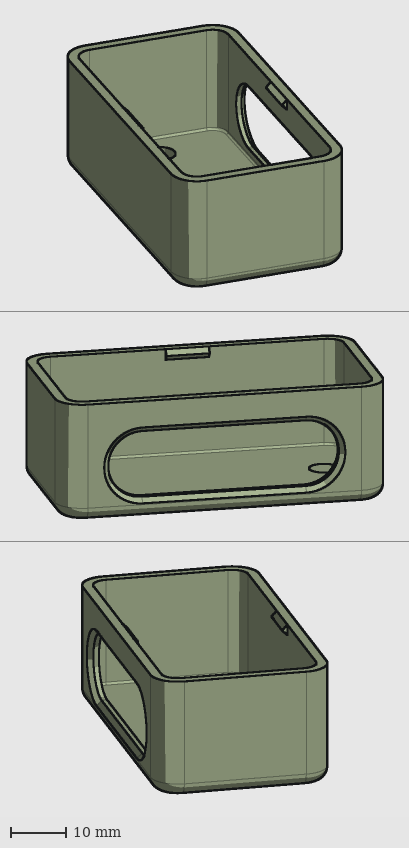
import cadquery as cq

length = 60.8
width = 32.85
height = 22.0
corner_radius = 5.05
base_fillet = 2.45
wall = 2.0

floor_hole_diameter = 5.5
floor_hole_x = -22.15

window_length = 42.8
window_height = 12.4
window_center_z = 9.85
window_chamfer = 1.0

catch_length = 8.0
catch_height = 2.0
catch_depth = catch_height / 2

inner_half_width = width / 2 - wall


def rounded_box(box_length, box_width, box_height, side_radius, bottom_radius):
    """Box standing on Z = 0 with rounded upright edges and a rounded base."""
    box = cq.Workplane("XY").box(box_length, box_width, box_height, centered=(True, True, False))
    return box.edges("|Z").fillet(side_radius).faces("<Z").edges().fillet(bottom_radius)


def make_tray():
    """Open-topped tray with an even wall and floor thickness."""
    outside = rounded_box(length, width, height, corner_radius, base_fillet)
    cavity = rounded_box(
        length - 2 * wall,
        width - 2 * wall,
        height - wall,
        corner_radius - wall,
        base_fillet - wall,
    )
    return outside.cut(cavity.translate((0, 0, wall)))


def make_floor_hole():
    hole = cq.Workplane("XY").center(floor_hole_x, 0).circle(floor_hole_diameter / 2)
    return hole.extrude(wall)


def make_window():
    """Cutter for the +Y wall: a straight slot with a 45 degree flare at the outer face."""
    outer_face = cq.Workplane("XZ", origin=(0, width / 2, window_center_z))
    slot = outer_face.slot2D(window_length, window_height).extrude(wall)
    flare = outer_face.slot2D(
        window_length + 2 * window_chamfer, window_height + 2 * window_chamfer
    ).extrude(window_chamfer, taper=45)
    return slot.union(flare)


def make_catch(side):
    """Ridge on the long wall at side * Y: a triangle pointing inward, rooted in the wall."""
    wall_y = side * inner_half_width
    tip_y = side * (inner_half_width - catch_depth)
    root_y = side * (inner_half_width + wall / 2)
    bottom_z = height - catch_height
    tip_z = height - catch_height / 2
    profile = cq.Workplane("YZ").polyline(
        [(root_y, height), (wall_y, height), (tip_y, tip_z), (wall_y, bottom_z), (root_y, bottom_z)]
    )
    return profile.close().extrude(catch_length / 2, both=True)


result = make_tray().cut(make_floor_hole()).cut(make_window())
for side in (-1, 1):
    result = result.union(make_catch(side))